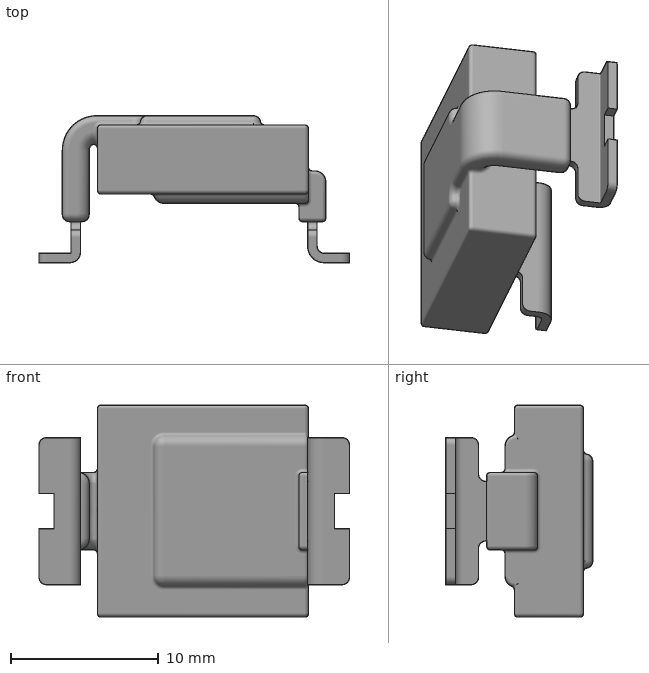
import cadquery as cq


overall_depth = 9.96
case_height = 14.35
case_width = 14.3
case_depth = 4.69
pad_rise = 0.63
case_back = overall_depth - pad_rise
case_front = case_back - case_depth
half_case = case_width / 2
edge_round = 0.25
blend = 0.25
embed = 0.42
margin = 0.02

front_pad_left = -3.36
front_pad_height = 10.3
front_pad_round = 0.75

back_pad_left = -4.25
back_pad_right = 3.9
back_pad_height = 7.74
back_pad_corner = 0.5

holder_thickness = 1.83
holder_height = 5.25
holder_end = 2.77
arm_left = -9.52
arm_right = arm_left + holder_thickness
arm_bend = 2.35
arm_outer_round = 0.5
arm_inner_round = 0.75
block_right = 8.32
block_left = block_right - holder_thickness
block_back = 6.22
block_corner = 0.75

total_length = 21.02
left_tip = -11.1
right_tip = left_tip + total_length
lead_thickness = 0.65
lead_height = 9.96
shoulder = 2.23
neck_height = 4.04
lead_round = 0.5
notch_depth = 1.0
notch_height = 2.38
left_bend = 0.71
right_bend = 1.11


def slab(x_min, x_max, y_min, y_max, height):
    """Block between two X and two Y limits, centred on Z = 0."""
    middle = ((x_min + x_max) / 2, (y_min + y_max) / 2, 0)
    return cq.Workplane("XY").box(x_max - x_min, y_max - y_min, height).translate(middle)


def zone(x_min, x_max, y_min, y_max, height):
    """Selector for edges whose centre lies in such a block, widened by a small margin."""
    low = (x_min - margin, y_min - margin, -height / 2 - margin)
    high = (x_max + margin, y_max + margin, height / 2 + margin)
    return cq.selectors.BoxSelector(low, high)


def make_case():
    case = slab(-half_case, half_case, case_front, case_back, case_height)
    return case.edges().fillet(edge_round)


def make_front_pad():
    pad = slab(front_pad_left, half_case, case_front - pad_rise, case_front + embed, front_pad_height)
    pad = pad.edges("|Y and <X").fillet(front_pad_round)
    pad = pad.faces("<Y").edges("not >X").fillet(front_pad_round)
    return pad.faces(">X").edges("not >Y").fillet(edge_round)


def make_arm():
    """Arm from the -X lead round to the case's back, where it runs into the back pad."""
    inner_bend = arm_bend - holder_thickness
    bend_start = overall_depth - arm_bend
    inner_face = overall_depth - holder_thickness
    arm = (
        cq.Workplane("XY")
        .moveTo(arm_left, holder_end)
        .lineTo(arm_left, bend_start)
        .radiusArc((arm_left + arm_bend, overall_depth), arm_bend)
        .lineTo(0, overall_depth)
        .lineTo(0, inner_face)
        .lineTo(arm_right + inner_bend, inner_face)
        .radiusArc((arm_right, bend_start), -inner_bend)
        .lineTo(arm_right, holder_end)
        .close()
        .extrude(holder_height / 2, both=True)
    )
    inner_legs = zone(arm_right, arm_right, holder_end, bend_start, holder_height)
    arm = arm.edges("|Y").edges(inner_legs).fillet(arm_inner_round)

    back_pad = slab(back_pad_left, back_pad_right, case_back - embed, overall_depth, back_pad_height)
    arm = arm.union(back_pad)
    pad_corners = zone(back_pad_left, back_pad_right, case_back - embed, overall_depth, back_pad_height)
    arm = arm.edges("|Y").edges(pad_corners).fillet(back_pad_corner)
    return arm.faces(">Y or <Y").edges().fillet(arm_outer_round)


def make_block():
    block = slab(block_left, block_right, holder_end, block_back, holder_height)
    block = block.edges("|Z and >X and >Y").fillet(block_corner)
    return block.edges("not (<X and >Y)").fillet(edge_round)


def make_housing():
    """Case, pads, arm and block as one solid, with concave blends where they meet the case."""
    housing = make_case().union(make_front_pad())
    front_pad_foot = zone(front_pad_left, half_case - edge_round, case_front, case_front, front_pad_height)
    housing = housing.edges(front_pad_foot).fillet(blend)

    housing = housing.union(make_arm())
    arm_underside = overall_depth - holder_thickness
    arm_foot = zone(-half_case, back_pad_right, arm_underside, case_back, back_pad_height)
    housing = housing.edges(arm_foot).fillet(blend)

    housing = housing.union(make_block())
    block_foot = zone(block_left, half_case, case_front - pad_rise, block_back, holder_height)
    return housing.edges(block_foot).fillet(blend)


def make_lead(foot_length, outer_bend):
    """Lead whose upright stands on X = 0 and whose foot points to +X."""
    back = -lead_thickness / 2
    front = lead_thickness / 2
    inner_bend = outer_bend - lead_thickness
    lead = (
        cq.Workplane("XY")
        .moveTo(back, shoulder)
        .lineTo(back, outer_bend)
        .radiusArc((back + outer_bend, 0), -outer_bend)
        .lineTo(foot_length, 0)
        .lineTo(foot_length, lead_thickness)
        .lineTo(front + inner_bend, lead_thickness)
        .radiusArc((front, lead_thickness + inner_bend), inner_bend)
        .lineTo(front, shoulder)
        .close()
        .extrude(lead_height / 2, both=True)
    )
    lead = lead.faces(">Y").edges("|X").fillet(lead_round)
    lead = lead.faces(">X").edges("|Y").fillet(lead_round)
    notch = slab(foot_length - notch_depth, foot_length, 0, lead_thickness, notch_height)
    neck = slab(back, front, shoulder - lead_round, holder_end, neck_height)
    lead = lead.cut(notch).union(neck)
    neck_corners = zone(back, front, shoulder, shoulder, neck_height)
    return lead.edges("|X").edges(neck_corners).fillet(lead_round)


arm_middle = (arm_left + arm_right) / 2
block_middle = (block_left + block_right) / 2

housing = make_housing()
left_lead = make_lead(arm_middle - left_tip, left_bend).mirror("YZ").translate((arm_middle, 0, 0))
right_lead = make_lead(right_tip - block_middle, right_bend).translate((block_middle, 0, 0))

result = cq.Compound.makeCompound([housing.val(), left_lead.val(), right_lead.val()])